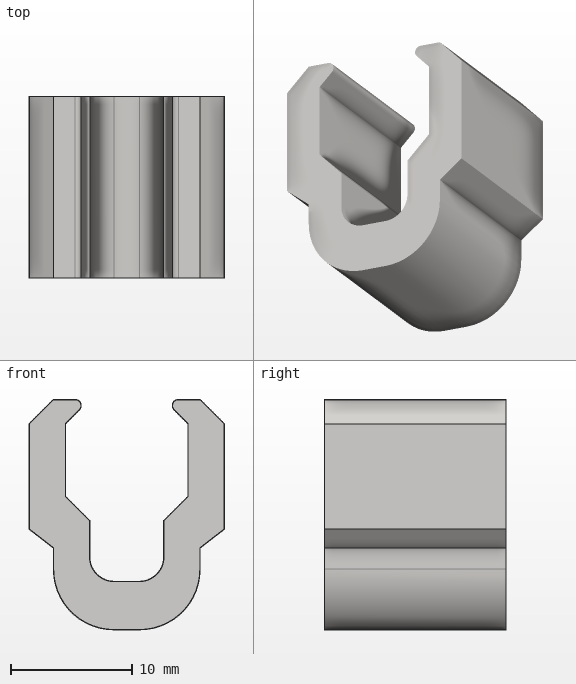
import cadquery as cq

LENGTH = 15.0
HEIGHT = 19.0

SLOT_HALF = 3.05
STEP = 2.0
CAVITY_HALF = SLOT_HALF + STEP
BASE_HALF = 6.05
BODY_HALF = BASE_HALF + STEP

FLOOR_Z = 4.0
SHOULDER_BOTTOM_Z = 6.75
SHOULDER_TOP_Z = 8.3
SLOT_TOP_Z = 9.0
CAVITY_BOTTOM_Z = SLOT_TOP_Z + STEP
LIP_BOTTOM_Z = HEIGHT - STEP

BASE_RADIUS = 5.0
FLOOR_RADIUS = 2.0
LIP_RADIUS = 0.5


def mirrored(half_points):
    """Close a right-hand half outline with its mirror image about X = 0."""
    return half_points + [(-x, z) for x, z in reversed(half_points)]


def extrude_along_y(points):
    """Extrude a closed XZ outline over the full length, centred on Y = 0."""
    return cq.Workplane("XZ").polyline(points).close().extrude(LENGTH / 2, both=True)


def edges_at(x, z):
    """Selector for the two lengthwise edges at X = +/-x and height z."""
    margin = 0.05
    half_length = LENGTH / 2 + margin
    selectors = [
        cq.selectors.BoxSelector(
            (side * x - margin, -half_length, z - margin),
            (side * x + margin, half_length, z + margin),
        )
        for side in (-1, 1)
    ]
    return selectors[0] + selectors[1]


def make_body():
    outline = mirrored([
        (BASE_HALF, 0),
        (BASE_HALF, SHOULDER_BOTTOM_Z),
        (BODY_HALF, SHOULDER_TOP_Z),
        (BODY_HALF, LIP_BOTTOM_Z),
        (BASE_HALF, HEIGHT),
    ])
    return extrude_along_y(outline)


def make_channel():
    outline = mirrored([
        (SLOT_HALF, FLOOR_Z),
        (SLOT_HALF, SLOT_TOP_Z),
        (CAVITY_HALF, CAVITY_BOTTOM_Z),
        (CAVITY_HALF, LIP_BOTTOM_Z),
        (SLOT_HALF, HEIGHT),
    ])
    return extrude_along_y(outline)


def round_edges(clip):
    clip = clip.edges(edges_at(BASE_HALF, 0)).fillet(BASE_RADIUS)
    clip = clip.edges(edges_at(SLOT_HALF, FLOOR_Z)).fillet(FLOOR_RADIUS)
    return clip.edges(edges_at(SLOT_HALF, HEIGHT)).fillet(LIP_RADIUS)


result = round_edges(make_body().cut(make_channel()))